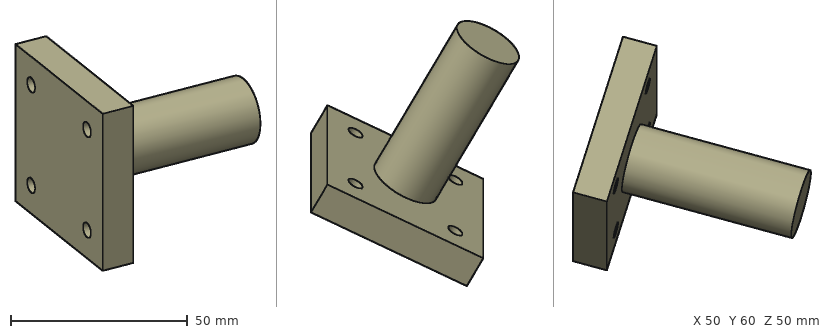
import cadquery as cq

total_length = 60.0
plate_side = 50.0
plate_thickness = 10.0
post_diameter = 20.0
hole_diameter = 4.5
hole_spacing = 32.0

post_length = total_length - plate_thickness


def make_plate():
    """Square plate with its outer face on the XZ plane, extending toward +Y."""
    return cq.Workplane("XZ").rect(plate_side, plate_side).extrude(-plate_thickness)


def make_post():
    """Round post standing on the centre of the plate's +Y face."""
    return (
        cq.Workplane("XZ", origin=(0, plate_thickness, 0))
        .circle(post_diameter / 2)
        .extrude(-post_length)
    )


def make_mounting_holes():
    """Four through-hole cutters in a square pattern around the post."""
    return (
        cq.Workplane("XZ")
        .rect(hole_spacing, hole_spacing, forConstruction=True)
        .vertices()
        .circle(hole_diameter / 2)
        .extrude(-plate_thickness)
    )


result = make_plate().union(make_post()).cut(make_mounting_holes())